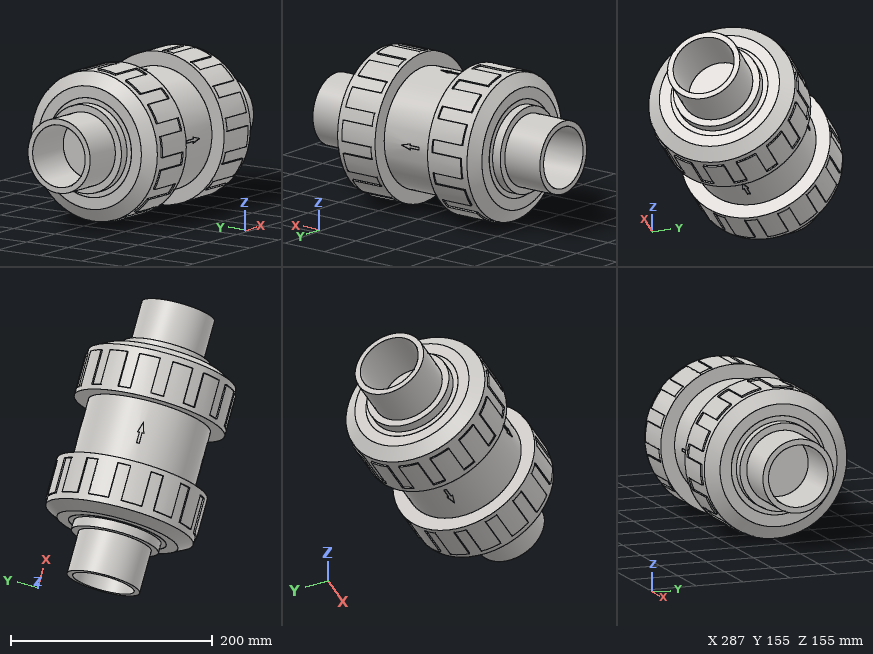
import cadquery as cq
import math


overall_length = 287.0
pipe_end = overall_length / 2
collar_end = 99.25
nut_face = 89.75
chamfer_start = 81.7
grip_end = 75.0
notch_end = 38.5
nut_inner = 33.2

nut_diameter = 155.0
grip_root_diameter = 151.9
nut_face_diameter = 124.5
body_diameter = 125.55
collar_diameter = 89.6
pipe_diameter = 75.0
bore_diameter = 63.2

nut_opening_diameter = 100.5
recess_depth = 0.25

notch_count = 14
notch_pitch = 360.0 / notch_count
notch_angle = 9.8
cutter_clearance = 1.0

arrow_count = 4
arrow_length = 22.0
arrow_shaft_width = 2.7
arrow_head_width = 6.2
arrow_height = 0.5
arrow_root_depth = 0.5


def cylinder_x(diameter, start, end):
    """Cylinder on the flow axis between two X positions."""
    return cq.Workplane("YZ").workplane(offset=start).circle(diameter / 2).extrude(end - start)


def tube_x(outer_diameter, inner_diameter, start, end):
    """Tube on the flow axis between two X positions."""
    return cylinder_x(outer_diameter, start, end).cut(cylinder_x(inner_diameter, start, end))


def rim_point(diameter, degrees):
    """Point in the YZ plane on a circle, at an angle from +Z towards -Y."""
    angle = math.radians(degrees)
    return (-diameter / 2 * math.sin(angle), diameter / 2 * math.cos(angle))


def rib_wedge():
    """Wedge from the axis outwards spanning one rib of the +X nut, just past the notch at +Z."""
    reach_diameter = 2 * nut_diameter
    corners = [(0, 0), rim_point(reach_diameter, notch_angle), rim_point(reach_diameter, notch_pitch)]
    return (
        cq.Workplane("YZ")
        .workplane(offset=notch_end)
        .polyline(corners)
        .close()
        .extrude(grip_end - notch_end)
    )


def notch_cutter():
    """Sleeve around the +X nut that clears the notches and the plain band, sparing the ribs."""
    sleeve = tube_x(nut_diameter + 2 * cutter_clearance, grip_root_diameter, notch_end, chamfer_start)
    wedge = rib_wedge()
    for index in range(notch_count):
        sleeve = sleeve.cut(wedge.rotate((0, 0, 0), (1, 0, 0), index * notch_pitch))
    return sleeve


def union_nut():
    """Union nut of the +X end: plain rim, notched grip, tapered outer end, recessed opening."""
    profile = [
        (nut_inner, 0),
        (nut_inner, nut_diameter / 2),
        (chamfer_start, nut_diameter / 2),
        (chamfer_start, grip_root_diameter / 2),
        (nut_face, nut_face_diameter / 2),
        (nut_face, 0),
    ]
    nut = cq.Workplane("XY").polyline(profile).close().revolve(360, (0, 0, 0), (1, 0, 0))
    recess = tube_x(nut_opening_diameter, collar_diameter, nut_face - recess_depth, nut_face)
    return nut.cut(notch_cutter()).cut(recess)


def valve_end():
    """Everything at the +X end: nut, collar and bored pipe socket."""
    collar = cylinder_x(collar_diameter, nut_inner, collar_end)
    pipe = cylinder_x(pipe_diameter, nut_inner, pipe_end)
    bore = cylinder_x(bore_diameter, nut_face, pipe_end)
    return union_nut().union(collar).union(pipe).cut(bore)


def flow_arrow():
    """Raised arrow on top of the body, following its curvature."""
    half_length = arrow_length / 2
    half_shaft = arrow_shaft_width / 2
    half_head = arrow_head_width / 2
    outline = [
        (-half_length, -half_shaft),
        (0, -half_shaft),
        (0, -half_head),
        (half_length, 0),
        (0, half_head),
        (0, half_shaft),
        (-half_length, half_shaft),
    ]
    raised_diameter = body_diameter + 2 * arrow_height
    root_diameter = body_diameter - 2 * arrow_root_depth
    prism = cq.Workplane("XY").polyline(outline).close().extrude(raised_diameter)
    return prism.intersect(tube_x(raised_diameter, root_diameter, -half_length, half_length))


end = valve_end()
result = cylinder_x(body_diameter, -nut_inner, nut_inner)
result = result.union(end).union(end.rotate((0, 0, 0), (0, 0, 1), 180))

arrow = flow_arrow()
for index in range(arrow_count):
    result = result.union(arrow.rotate((0, 0, 0), (1, 0, 0), index * 360.0 / arrow_count))